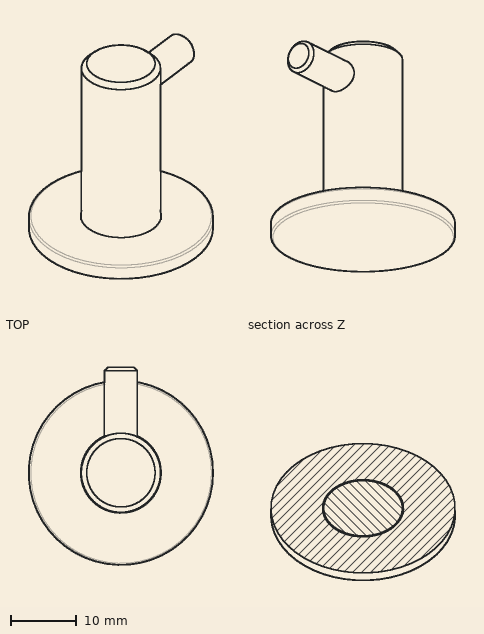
import cadquery as cq

total_height = 30.0
base_diameter = 28.0
base_thickness = 2.5
base_edge_radius = 0.3
post_diameter = 12.0
recess_diameter = 12.2
recess_depth = 1.5
post_chamfer = 0.8
pin_diameter = 5.0
pin_chamfer = 0.55
pin_axis_height = 24.5
pin_depth = 3.0

recess_floor = base_thickness - recess_depth

overall_length_y = 30.0
pin_tip_y = overall_length_y - base_diameter / 2
pin_start_y = post_diameter / 2 - pin_depth


def make_base():
    """Round flange with both rims rounded and a recess in which the post stands."""
    disc = cq.Workplane("XY").circle(base_diameter / 2).extrude(base_thickness)
    disc = disc.faces("<Z or >Z").edges().fillet(base_edge_radius)
    recess = cq.Workplane("XY").workplane(offset=recess_floor).circle(recess_diameter / 2).extrude(recess_depth)
    return disc.cut(recess)


def make_pin():
    """Peg along +Y with a chamfered tip."""
    start_plane = cq.Plane(origin=(0, pin_start_y, pin_axis_height), xDir=(1, 0, 0), normal=(0, 1, 0))
    rod = cq.Workplane(start_plane).circle(pin_diameter / 2).extrude(pin_tip_y - pin_start_y)
    return rod.faces(">Y").edges().chamfer(pin_chamfer)


def make_post(pin):
    """Upright post standing on the recess floor of the base, with a chamfered top and a blind hole for the pin."""
    column = (
        cq.Workplane("XY")
        .workplane(offset=recess_floor)
        .circle(post_diameter / 2)
        .extrude(total_height - recess_floor)
    )
    return column.faces(">Z").edges().chamfer(post_chamfer).cut(pin)


base = make_base()
pin = make_pin()
post = make_post(pin)

result = cq.Compound.makeCompound([base.val(), post.val(), pin.val()])